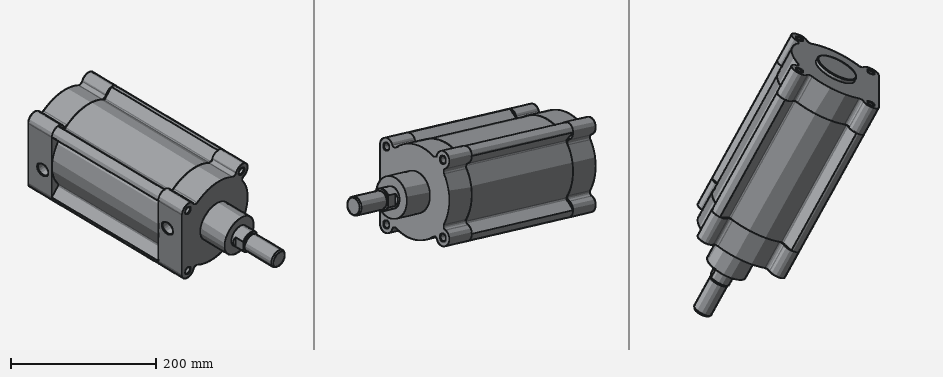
import cadquery as cq
import math


section_size = 135.0
half_size = section_size / 2
screw_pitch = 110.0
lobe_center = screw_pitch / 2
lobe_radius = half_size - lobe_center

body_length = 285.0
cap_length = 44.0
barrel_length = body_length - 2 * cap_length

cap_disc_radius = half_size
cap_web_radius = 5.0
screw_hole_diameter = 10.2
screw_sink_diameter = 12.0
screw_hole_depth = 20.0
port_diameter = 19.0
port_sink_diameter = 21.0
port_depth = 20.0
port_inset = 27.0
port_offset = 14.5
spigot_diameter = 60.0
rear_spigot_length = 6.0
front_spigot_length = 45.0
rear_spigot_chamfer = 1.0

barrel_radius = 67.0
barrel_web_radius = 2.0

rod_start = body_length + front_spigot_length
thread_setback = 65.0
thread_start = body_length + thread_setback
thread_length = 54.0
rod_radius = 16.0
rod_end_chamfer = 0.5
thread_radius = 13.5
thread_core_radius = 12.0
thread_cone_length = 2.5
flat_setback = 3.5
flat_start = rod_start + flat_setback
flat_half_width = 13.5

QUARTERS = range(4)


def turned(point, quarter):
    """Rotate a (y, z) point by a number of quarter turns about the axis."""
    y, z = point
    for _ in range(quarter):
        y, z = -z, y
    return y, z


def mirrored(point):
    """Mirror a (y, z) point across the 45 degree diagonal."""
    return point[1], point[0]


def toward(start, end, distance):
    """Point at the given distance from start on the way to end."""
    share = distance / math.dist(start, end)
    return tuple(a + (b - a) * share for a, b in zip(start, end))


AXIS = (0.0, 0.0)
LOBE = (lobe_center, lobe_center)
CORNER_TIP = toward(LOBE, (half_size, half_size), lobe_radius)


def four_corner_section(disc_radius, web_center, web_radius, web_end, rib_start):
    """Disc outline with a rounded corner at each quarter, blended in by concave webs.

    The web leaves the disc, ends at web_end, and a straight side (if any) leads to
    rib_start, where the round of the corner begins.
    """
    disc_middle = (disc_radius, 0.0)
    disc_end = toward(AXIS, web_center, disc_radius)
    web_chord_middle = toward(disc_end, web_end, math.dist(disc_end, web_end) / 2)
    web_middle = toward(web_center, web_chord_middle, web_radius)
    has_straight_side = rib_start != web_end

    outline = cq.Workplane("YZ").moveTo(disc_end[0], -disc_end[1])
    for quarter in QUARTERS:
        outline = outline.threePointArc(turned(disc_middle, quarter), turned(disc_end, quarter))
        outline = outline.threePointArc(turned(web_middle, quarter), turned(web_end, quarter))
        if has_straight_side:
            outline = outline.lineTo(*turned(rib_start, quarter))
        outline = outline.threePointArc(
            turned(CORNER_TIP, quarter), turned(mirrored(rib_start), quarter)
        )
        if has_straight_side:
            outline = outline.lineTo(*turned(mirrored(web_end), quarter))
        outline = outline.threePointArc(
            turned(mirrored(web_middle), quarter), turned(mirrored(disc_end), quarter)
        )
    return outline.close()


def diagonal_point(radius, difference):
    """Point at a radius from the axis whose y exceeds its z by difference."""
    total = math.sqrt(2 * radius ** 2 - difference ** 2)
    return (total + difference) / 2, (total - difference) / 2


def cap_section():
    """Round cap outline with four screw lobes."""
    axis_distance = cap_disc_radius + cap_web_radius
    lobe_distance = lobe_radius + cap_web_radius
    diagonal = math.hypot(*LOBE)
    along = (axis_distance ** 2 - lobe_distance ** 2 + diagonal ** 2) / (2 * diagonal)
    across = math.sqrt(axis_distance ** 2 - along ** 2)
    web_center = diagonal_point(axis_distance, math.sqrt(2) * across)
    web_end = toward(LOBE, web_center, lobe_radius)
    return four_corner_section(cap_disc_radius, web_center, cap_web_radius, web_end, web_end)


def barrel_section():
    """Round barrel outline with four corner ribs."""
    rib_start = (half_size, lobe_center)
    web_center = diagonal_point(
        barrel_radius + barrel_web_radius, lobe_radius + math.sqrt(2) * barrel_web_radius
    )
    web_step = barrel_web_radius / math.sqrt(2)
    web_end = (web_center[0] - web_step, web_center[1] + web_step)
    return four_corner_section(barrel_radius, web_center, barrel_web_radius, web_end, rib_start)


def sunk_hole(plane, diameter, sink_diameter, depth):
    """Cutter for a blind hole with a 45 degree countersink at its mouth."""
    sink_depth = (sink_diameter - diameter) / 2
    hole = plane.circle(diameter / 2).extrude(depth)
    sink = plane.circle(sink_diameter / 2).extrude(sink_depth, taper=45)
    return hole.union(sink)


def make_cap(port_z):
    """Cap with its outer face at x = 0 and its port on the flat -Y side."""
    cap = cap_section().extrude(cap_length)
    pad = cq.Workplane("XY").box(
        cap_length, half_size - lobe_center, screw_pitch, centered=(False, False, True)
    )
    cap = cap.union(pad.translate((0, -half_size, 0)))

    for quarter in QUARTERS:
        plane = cq.Workplane("YZ").center(*turned(LOBE, quarter))
        cap = cap.cut(sunk_hole(plane, screw_hole_diameter, screw_sink_diameter, screw_hole_depth))

    port_plane = cq.Workplane(
        cq.Plane(origin=(port_inset, -half_size, port_z), xDir=(1, 0, 0), normal=(0, 1, 0))
    )
    return cap.cut(sunk_hole(port_plane, port_diameter, port_sink_diameter, port_depth))


def make_rear_cap():
    spigot = cq.Workplane("YZ").circle(spigot_diameter / 2).extrude(-rear_spigot_length)
    spigot = spigot.faces("<X").chamfer(rear_spigot_chamfer)
    return make_cap(-port_offset).union(spigot)


def make_barrel():
    return barrel_section().extrude(barrel_length).translate((cap_length, 0, 0))


def make_front_cap():
    cap = make_cap(port_offset).mirror("YZ").translate((body_length, 0, 0))
    spigot = cq.Workplane("YZ", origin=(body_length, 0, 0)).circle(spigot_diameter / 2)
    return cap.union(spigot.extrude(front_spigot_length))


def make_rod():
    thread_end = thread_start + thread_length
    rod = (
        cq.Workplane("XY")
        .moveTo(rod_start, 0)
        .lineTo(rod_start, rod_radius)
        .lineTo(thread_start - rod_end_chamfer, rod_radius)
        .lineTo(thread_start, rod_radius - rod_end_chamfer)
        .lineTo(thread_start, thread_core_radius)
        .lineTo(thread_start + thread_cone_length, thread_radius)
        .lineTo(thread_end - thread_cone_length, thread_radius)
        .lineTo(thread_end, thread_core_radius)
        .lineTo(thread_end, 0)
        .close()
        .revolve(360, (0, 0, 0), (1, 0, 0))
    )
    flat_depth = rod_radius - flat_half_width
    flat = (
        cq.Workplane("XY")
        .moveTo(flat_start, rod_radius)
        .lineTo(flat_start + flat_depth, flat_half_width)
        .lineTo(thread_start, flat_half_width)
        .lineTo(thread_start, rod_radius)
        .close()
        .extrude(rod_radius, both=True)
    )
    return rod.cut(flat).cut(flat.mirror("XZ"))


rear_cap = make_rear_cap()
barrel = make_barrel()
front_cap = make_front_cap()
piston_rod = make_rod()

result = cq.Compound.makeCompound([rear_cap.val(), barrel.val(), front_cap.val(), piston_rod.val()])